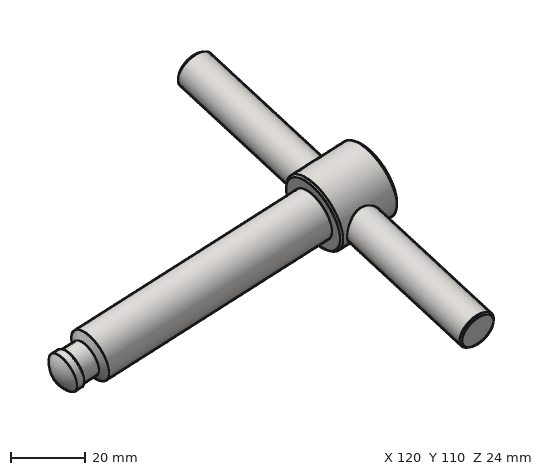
import cadquery as cq
import math

bar_length = 120.0
bar_diameter = 12.0
bar_chamfer = 0.5

head_diameter = 24.0
head_length = 20.0
head_chamfer = 0.6
bar_to_head_back = 12.0

overall_length = 110.0
shaft_diameter = 16.0
neck_diameter = 11.0
tip_diameter = 12.0
neck_length_with_tip = 12.0
tip_length = 5.0
dome_radius = 8.5
shoulder_angle = 30.0

head_back_y = bar_to_head_back
head_front_y = head_back_y - head_length
tip_end_y = head_back_y - overall_length
shaft_end_y = tip_end_y + neck_length_with_tip
tip_start_y = tip_end_y + tip_length


def make_head():
    head = (
        cq.Workplane("XZ", origin=(0, head_back_y, 0))
        .circle(head_diameter / 2)
        .extrude(head_length)
    )
    return head.faces("<Y or >Y").chamfer(head_chamfer)


def make_bar():
    bar = (
        cq.Workplane("YZ", origin=(-bar_length / 2, 0, 0))
        .circle(bar_diameter / 2)
        .extrude(bar_length)
    )
    return bar.faces("<X or >X").chamfer(bar_chamfer)


def make_spindle():
    shaft_radius = shaft_diameter / 2
    neck_radius = neck_diameter / 2
    tip_radius = tip_diameter / 2

    shoulder_length = (shaft_radius - neck_radius) * math.tan(math.radians(shoulder_angle))
    neck_start_y = shaft_end_y - shoulder_length

    dome_center_y = tip_end_y + dome_radius
    dome_start_y = dome_center_y - math.sqrt(dome_radius**2 - tip_radius**2)
    half_cap_angle = math.asin(tip_radius / dome_radius) / 2
    dome_middle = (
        dome_radius * math.sin(half_cap_angle),
        dome_center_y - dome_radius * math.cos(half_cap_angle),
    )

    profile = (
        cq.Workplane("XY")
        .moveTo(0, head_front_y)
        .lineTo(shaft_radius, head_front_y)
        .lineTo(shaft_radius, shaft_end_y)
        .lineTo(neck_radius, neck_start_y)
        .lineTo(neck_radius, tip_start_y)
        .lineTo(tip_radius, tip_start_y)
        .lineTo(tip_radius, dome_start_y)
        .threePointArc(dome_middle, (0, tip_end_y))
        .close()
    )
    return profile.revolve(360, (0, 0, 0), (0, 1, 0))


result = make_head().union(make_bar()).union(make_spindle())